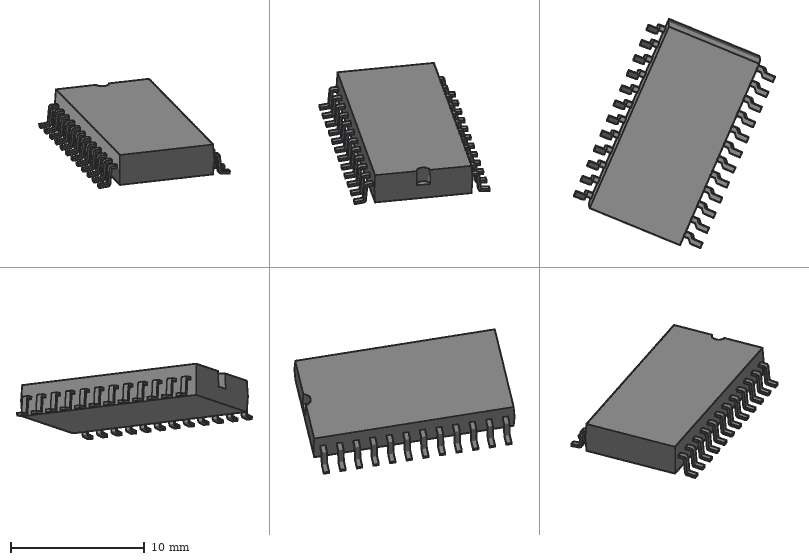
import cadquery as cq
import math

body_length = 15.4
body_width = 7.5
body_bottom = 0.25
body_top = 2.65
parting_height = (body_bottom + body_top) / 2
half_height = body_top - parting_height
draft_angle = 3.0

notch_radius = 0.51

leads_per_side = 12
lead_row_length = 13.97
lead_pitch = lead_row_length / (leads_per_side - 1)
lead_width = 0.42
lead_thickness = 0.2
lead_embed = 0.31
shoulder_reach = 4.19
lead_span = 10.33
tip_reach = lead_span / 2
inner_bend_radius = 0.05
outer_bend_radius = inner_bend_radius + lead_thickness
lead_slope = 5.0


def body_half(taper_height):
    """Drafted half of the body; a negative height grows downwards."""
    return (
        cq.Workplane("XY")
        .workplane(offset=parting_height)
        .rect(body_length, body_width)
        .extrude(taper_height, taper=draft_angle)
    )


def notch():
    return (
        cq.Workplane("XY")
        .workplane(offset=parting_height)
        .center(-body_length / 2, 0)
        .circle(notch_radius)
        .extrude(half_height)
    )


def corner_across(corner, direction, half_turn):
    """Corner on the other face of the strip, in YZ; angles in degrees, direction from +Y."""
    diagonal = lead_thickness / math.cos(math.radians(half_turn))
    angle = math.radians(direction)
    return (corner[0] + diagonal * math.cos(angle), corner[1] + diagonal * math.sin(angle))


def lead(x_centre):
    """Lead on the +Y side. Both bends keep the strip thickness."""
    root = body_width / 2 - lead_embed
    slope = math.radians(lead_slope)
    slope_ratio = math.tan(slope)

    shoulder_inside = (shoulder_reach, parting_height)
    shoulder_half_turn = (90 - lead_slope) / 2
    shoulder_outside = corner_across(shoulder_inside, 90 - shoulder_half_turn, shoulder_half_turn)

    tip_top = (tip_reach, lead_thickness * math.cos(slope))
    tip_bottom = (tip_reach - lead_thickness * math.sin(slope), 0)

    foot_top_below_shoulder = tip_top[1] + slope_ratio * (tip_top[0] - shoulder_outside[0])
    leg_drop = (shoulder_outside[1] - foot_top_below_shoulder) / (1 - slope_ratio**2)
    heel_inside = (shoulder_outside[0] + leg_drop * slope_ratio, shoulder_outside[1] - leg_drop)
    heel_half_turn = 45 - lead_slope
    heel_direction = 225
    heel_outside = corner_across(heel_inside, heel_direction, heel_half_turn)

    outline = [
        (root, parting_height),
        (root, parting_height + lead_thickness),
        shoulder_outside,
        heel_inside,
        tip_top,
        tip_bottom,
        heel_outside,
        shoulder_inside,
    ]
    strip = (
        cq.Workplane("YZ")
        .workplane(offset=x_centre - lead_width / 2)
        .polyline(outline)
        .close()
        .extrude(lead_width)
    )
    bends = [
        (shoulder_inside, inner_bend_radius),
        (shoulder_outside, outer_bend_radius),
        (heel_inside, inner_bend_radius),
        (heel_outside, outer_bend_radius),
    ]
    for corner, radius in bends:
        bend_edge = cq.selectors.NearestToPointSelector((x_centre, *corner))
        strip = strip.edges(bend_edge).fillet(radius)
    return strip


result = body_half(half_height).union(body_half(-half_height)).cut(notch())

for index in range(leads_per_side):
    x_centre = (index - (leads_per_side - 1) / 2) * lead_pitch
    rear_lead = lead(x_centre)
    result = result.union(rear_lead).union(rear_lead.mirror("XZ"))